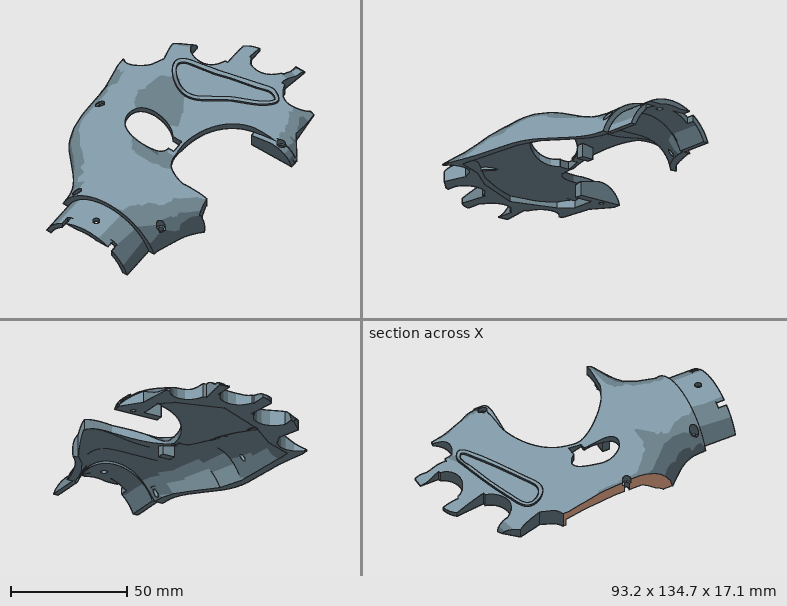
import cadquery as cq
import math


CUFF_LENGTH = 16.0
CUFF_RADIUS = 22.55
CUFF_WALL = 2.25
CUFF_AXIS_Z = -7.55
CUFF_HOLE_DIAMETER = 2.9
CUFF_HOLE_Y = 6.9
RELIEF_WIDTH = 26.0
RELIEF_HEIGHT = 12.1
RELIEF_DEPTH = 3.9

PALM_TIP_Y = 134.73
PALM_HEIGHT = 17.07
PALM_LEFT_X = -48.5
PALM_WIDTH = 93.21
PALM_RIGHT_X = PALM_LEFT_X + PALM_WIDTH
WALL = 3.2
FLOOR_CLEARANCE = 1.0
TALL = 40.0

SKIN_SECTIONS = [
    (CUFF_LENGTH, [(-23.9, 0), (-20, 7.2), (-14, 12.8), (-7, 16.1), (0, PALM_HEIGHT),
                   (7, 16.1), (14, 12.8), (20, 7.2), (24.1, 0)]),
    (21, [(-24.3, 0), (-20.5, 7.1), (-14.3, 12.5), (-7, 15.4), (0, 16.3),
          (7, 15.5), (14.3, 12.5), (20.5, 7.2), (25.3, 0)]),
    (27, [(-26.4, 0), (-22, 7.4), (-15.2, 12.1), (-7, 14.4), (0, 15.1),
          (7.6, 14.7), (15.5, 12.4), (22, 7.8), (27.5, 0)]),
    (34, [(-32, 0), (-28, 7), (-20, 11.8), (-10, 13.3), (-1, 13.4),
          (9, 13.4), (19, 12.6), (26.5, 9), (31, 0)]),
    (43, [(-40, 0), (-36.5, 8), (-29, 13.6), (-19, 15.4), (-5, 14.2),
          (9, 14.3), (24, 16.2), (33, 15.2), (39, 0)]),
    (54, [(-43.9, 0), (-40.3, 9.3), (-34.5, 14.5), (-25, 16.6), (-13, 14.7),
          (-1, 10.2), (15, 12), (33, 11), (42, 0)]),
    (68, [(-45, 0), (-41.5, 8), (-35.5, 13), (-26, 14.9), (-14, 9.3),
          (-2, 5.2), (13, 7.5), (33, 8.5), (43, 0)]),
    (80, [(-46.2, 0), (-42.5, 6), (-36, 10.7), (-27, 12.2), (-15, 7.8),
          (-3, 4.4), (11, 8.5), (32, 8.8), (43.5, 0)]),
    (92, [(-48.6, 0), (-43.5, 4), (-36, 7.7), (-27, 8.6), (-15, 4.9),
          (-3, 3.9), (12, 7), (32, 8.9), (45.5, 0)]),
    (105, [(-46, 0), (-39, 5), (-32, 7), (-23, 7.2), (-10, 5),
           (4, 4.7), (18, 4.6), (31, 7), (40.5, 0)]),
    (117, [(-30, 0), (-26, 4.2), (-21, 5.6), (-13, 6.2), (-3, 6),
           (7, 6), (20, 5.4), (31, 3), (37.5, 0)]),
    (128, [(-14.5, 0), (-12, 2.2), (-8.5, 3), (-4, 3.3), (2, 3.3),
           (8, 3.3), (16, 3.3), (23, 2.6), (28, 0)]),
    (PALM_TIP_Y, [(-5, 0), (-4, 0.25), (-2, 0.4), (1, 0.5), (5, 0.5),
                  (10, 0.5), (15, 0.5), (19, 0.4), (22, 0)]),
]

THUMB_TOP = (23.4, 91.4)
THUMB_MIDDLE = (2.0, 67.0)
THUMB_BOTTOM = (18.7, 44.6)
WING_X = 32.2
WING_EDGE_Y = 43.8
WING_FOOT_Y = 38.4
LEDGE_Y = (89.2, 93.0)
LEDGE_CROWN = (33.0, 8.3)
LEDGE_SHOULDER = (39.5, 6.8)
LEDGE_INNER_HEIGHT = 6.3

GRIP_CENTER = (-12.55, 63.8)
GRIP_DIAMETER = 20.6
NOTCH_X = (-4.0, 0.5)
NOTCH_Y = (63.8, 69.8)
BLOCK_X = (-5.3, 0.5)
BLOCK_Y = (53.0, 56.4)
BLOCK_Z = (2.0, 8.0)

SCREW_CENTERS = [(-36.6, 61.4), (-18.7, 19.0), (21.2, 25.1), (37.1, 92.2)]
SCREW_SEATS_Z = [11.0, 5.0, 6.0, 5.0]
SCREW_DIAMETER = 2.2
SCREW_HEAD_DIAMETER = 3.9

BEAD_WIDTH = 1.8
BEAD_HEIGHT = 0.9
BEAD_ROOT_Z = 3.7
BEAD_OUTLINE = [(-19.9, 107.1), (-25.9, 101.7), (-22.5, 95.6), (-13.1, 91.5), (-5.7, 94.2), (4.5, 100.3),
                (17.4, 107.1), (21.4, 112.2), (16.7, 115.6), (11.9, 114.9), (-2.9, 111.5)]


def box(x_range, y_range, z_range):
    """Axis-aligned box from its limits."""
    size = [high - low for low, high in (x_range, y_range, z_range)]
    corner = (x_range[0], y_range[0], z_range[0])
    return cq.Workplane("XY").box(*size, centered=False).translate(corner)


def prism(outline):
    """Tall cutting prism standing on a plan outline."""
    return outline.close().extrude(TALL)


def plan():
    return cq.Workplane("XY").workplane(offset=-FLOOR_CLEARANCE)


def cylinder(center, diameter, bottom=-FLOOR_CLEARANCE):
    return cq.Workplane("XY").workplane(offset=bottom).center(*center).circle(diameter / 2).extrude(TALL)


def loft_sections(sections, ruled=False):
    """Solid through crown lines, each closed along its foot; smooth along Y unless ruled."""
    wires = []
    for y, crown in sections:
        points = [cq.Vector(x, y, z) for x, z in crown]
        top = cq.Edge.makeSpline(points)
        foot = cq.Edge.makeLine(points[-1], points[0])
        wires.append(cq.Wire.assembleEdges([top, foot]))
    return cq.Workplane(cq.Solid.makeLoft(wires, ruled))


def inner_crown(crown):
    """Crown line drawn in by the wall thickness, with its feet below the underside."""
    left, right = crown[0][0], crown[-1][0]
    middle = (left + right) / 2
    x_ratio = 1 - 2 * WALL / (right - left)
    inner = [(middle + (x - middle) * x_ratio, z - WALL) for x, z in crown]
    inner[0] = (left + WALL, -FLOOR_CLEARANCE)
    inner[-1] = (right - WALL, -FLOOR_CLEARANCE)
    return inner


def palm_outline():
    """Plan prism with the four finger bays, the knuckle forks and the thumb opening."""
    outline = (
        plan()
        .moveTo(PALM_LEFT_X, CUFF_LENGTH)
        .lineTo(PALM_LEFT_X, 95.3)
        .lineTo(-47.7, 95.0)
        .threePointArc((-40.3, 91.7), (-33.4, 95.3))
        .lineTo(-31.0, 101.0)
        .lineTo(-34.0, 112.0)
        .lineTo(-27.2, 119.0)
        .lineTo(-26.0, 119.0)
        .lineTo(-26.0, 114.0)
        .threePointArc((-17.2, 109.1), (-9.4, 116.0))
        .lineTo(-8.0, 116.0)
        .lineTo(-9.6, 129.8)
        .threePointArc((-7.0, 131.9), (-3.2, 133.2))
        .lineTo(-3.2, 125.8)
        .lineTo(-2.3, 125.5)
        .threePointArc((5.6, 120.0), (13.5, 125.5))
        .lineTo(14.6, 125.8)
        .lineTo(14.6, PALM_TIP_Y)
        .lineTo(19.5, PALM_TIP_Y)
        .lineTo(17.4, 120.5)
        .lineTo(19.1, 120.2)
        .threePointArc((26.9, 113.5), (34.3, 117.9))
        .lineTo(36.2, 117.7)
        .lineTo(38.0, 102.0)
        .lineTo(PALM_RIGHT_X, 93.2)
        .lineTo(PALM_RIGHT_X, THUMB_TOP[1])
        .lineTo(*THUMB_TOP)
        .threePointArc(THUMB_MIDDLE, THUMB_BOTTOM)
        .lineTo(WING_X, WING_EDGE_Y)
        .lineTo(WING_X, WING_FOOT_Y)
        .lineTo(PALM_RIGHT_X, WING_FOOT_Y)
        .lineTo(PALM_RIGHT_X, CUFF_LENGTH)
    )
    return prism(outline)


def hollow_outline():
    """Plan prism of the hollow: it stops short of the finger bays and the thumb ledge."""
    behind_ledge_x = THUMB_TOP[0]
    ledge_back_y = LEDGE_Y[1]
    outline = plan().polyline([
        (PALM_LEFT_X, CUFF_LENGTH),
        (PALM_LEFT_X, 85),
        (-44, 88),
        (-30, 94),
        (-18, 104),
        (5, 115),
        (26, 109),
        (32, 104),
        (32, ledge_back_y),
        (behind_ledge_x, ledge_back_y),
        (behind_ledge_x, 60),
        (PALM_RIGHT_X, 60),
        (PALM_RIGHT_X, CUFF_LENGTH),
    ])
    return prism(outline)


def inset(points, distance):
    """Points of a closed counter-clockwise outline, each moved inward along its local normal."""
    moved = []
    for index, (x, y) in enumerate(points):
        before = points[index - 1]
        after = points[(index + 1) % len(points)]
        chord_x = after[0] - before[0]
        chord_y = after[1] - before[1]
        chord = math.hypot(chord_x, chord_y)
        moved.append((x - distance * chord_y / chord, y + distance * chord_x / chord))
    return moved


def bead_prism(outline):
    base = cq.Workplane("XY").workplane(offset=BEAD_ROOT_Z)
    return prism(base.spline(outline, periodic=True))


def bead(skin):
    """Ring of skin lifted slightly above the palm around the knuckle pad."""
    ring = bead_prism(BEAD_OUTLINE).cut(bead_prism(inset(BEAD_OUTLINE, BEAD_WIDTH)))
    return ring.intersect(skin.translate((0, 0, BEAD_HEIGHT)), clean=False)


def cuff():
    """Half-round sleeve with a relieved mouth and one fixing hole."""
    sleeve = (
        cq.Workplane("XZ")
        .center(0, CUFF_AXIS_Z)
        .circle(CUFF_RADIUS)
        .circle(CUFF_RADIUS - CUFF_WALL)
        .extrude(-CUFF_LENGTH)
    )
    above_floor = box((-CUFF_RADIUS, CUFF_RADIUS), (0, CUFF_LENGTH), (0, CUFF_RADIUS))
    relief = box((-RELIEF_WIDTH / 2, RELIEF_WIDTH / 2), (-1, RELIEF_DEPTH), (-1, RELIEF_HEIGHT))
    hole = cylinder((0, CUFF_HOLE_Y), CUFF_HOLE_DIAMETER)
    return sleeve.intersect(above_floor).cut(relief).cut(hole)


def screw_holes():
    """Counterbored through holes, joined as one cutting body."""
    holes = cq.Workplane("XY")
    for center, seat_z in zip(SCREW_CENTERS, SCREW_SEATS_Z):
        seat = cylinder(center, SCREW_HEAD_DIAMETER, bottom=seat_z)
        holes = holes.add(cylinder(center, SCREW_DIAMETER).union(seat))
    return holes.combine()


def ledge():
    """Thumb ledge, slightly lower than the palm surface behind it."""
    profile = (
        cq.Workplane("XZ", origin=(0, LEDGE_Y[0], 0))
        .moveTo(THUMB_TOP[0], 0)
        .lineTo(PALM_RIGHT_X, 0)
        .threePointArc(LEDGE_SHOULDER, LEDGE_CROWN)
        .lineTo(THUMB_TOP[0], LEDGE_INNER_HEIGHT)
        .close()
    )
    return profile.extrude(LEDGE_Y[0] - LEDGE_Y[1])


def palm_shell(holes):
    """Hollow palm cut to its footprint, with bead, thumb ledge, hanging block and wrist cuff."""
    skin = loft_sections(SKIN_SECTIONS)
    inner_skin = loft_sections([(y, inner_crown(crown)) for y, crown in SKIN_SECTIONS[:-2]], ruled=True)
    hollow = inner_skin.intersect(hollow_outline(), clean=False)
    grip = cylinder(GRIP_CENTER, GRIP_DIAMETER).union(box(NOTCH_X, NOTCH_Y, (-FLOOR_CLEARANCE, TALL)))
    footprint = palm_outline().cut(grip).cut(holes)
    shell = skin.intersect(footprint, clean=False).cut(hollow, clean=False)
    shell = shell.union(bead(skin), clean=False)
    attachments = [ledge().cut(holes), box(BLOCK_X, BLOCK_Y, BLOCK_Z), cuff()]
    return shell.val().fuse(*[part.val() for part in attachments])


result = cq.Workplane(palm_shell(screw_holes())).solids()